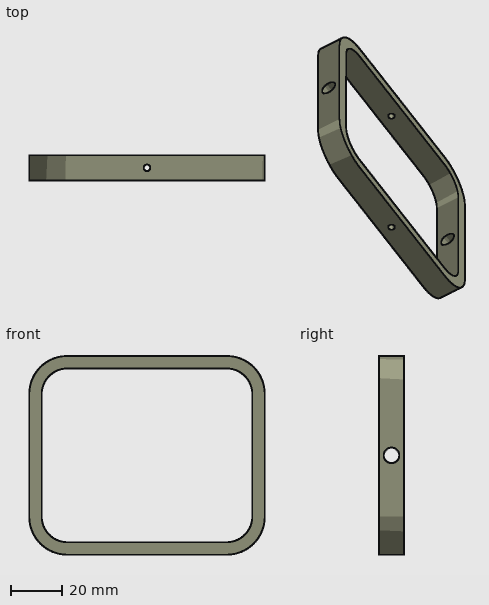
import cadquery as cq

length = 92.4
depth = 10.0
height = 78.0
wall = 5.0
outer_radius = 15.0
inner_radius = outer_radius - wall

side_hole_diameter = 6.0
vertical_hole_diameter = 2.5


def rounded_block(size_x, size_z, corner_radius):
    """Block of the frame's depth with its four corners rounded, centred on the origin."""
    return cq.Workplane("XY").box(size_x, depth, size_z).edges("|Y").fillet(corner_radius)


def centred_cylinder(plane, diameter, span):
    """Cylinder through the origin, normal to the plane, reaching span/2 each way."""
    return cq.Workplane(plane).circle(diameter / 2).extrude(span / 2, both=True)


outer = rounded_block(length, height, outer_radius)
opening = rounded_block(length - 2 * wall, height - 2 * wall, inner_radius)
frame = outer.cut(opening)

side_holes = centred_cylinder("YZ", side_hole_diameter, length)
vertical_holes = centred_cylinder("XY", vertical_hole_diameter, height)

result = frame.cut(side_holes).cut(vertical_holes)